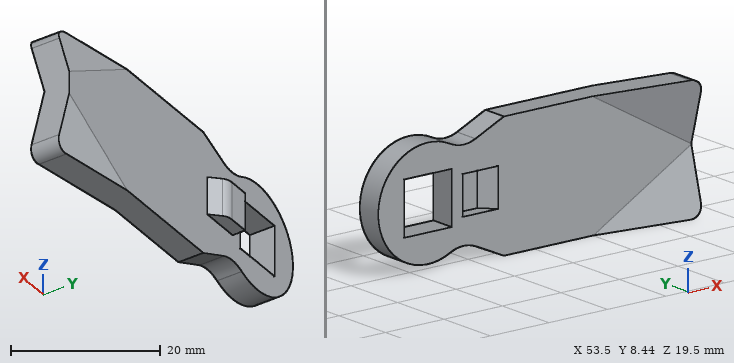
import cadquery as cq
import math

length = 53.5
half_width = 9.75
thickness = 4.0
corner_radius = 2.0

head_radius = 8.5
waist_radius = 5.05
waist_x = 14.55
shoulder_angle = math.radians(24.5)
square_hole = 8.15

stop_start = 14.45
stop_end = 20.55
stop_width = 6.0
boss_height = 2.05
pocket_depth = boss_height
boss_round = 2.0

fold_angle = math.radians(30)
bend_slope = 0.31
back_fold_shift = 3.1
cut_margin = 10.7


def extrude_outline():
    """Extrude the outline, symmetric about Z = 0, through the bent depth."""
    waist_z = math.sqrt((head_radius + waist_radius) ** 2 - (waist_x - head_radius) ** 2)
    head_share = head_radius / (head_radius + waist_radius)
    join_x = head_radius + (waist_x - head_radius) * head_share
    join_z = waist_z * head_share
    line_x = waist_x + waist_radius * math.sin(shoulder_angle)
    line_z = waist_z - waist_radius * math.cos(shoulder_angle)
    shoulder_x = line_x + (half_width - line_z) / math.tan(shoulder_angle)
    waist_bottom = waist_z - waist_radius

    outline = (
        cq.Workplane("XZ", origin=(0, thickness, 0))
        .moveTo(join_x, -join_z)
        .threePointArc((0, 0), (join_x, join_z))
        .threePointArc((waist_x, waist_bottom), (line_x, line_z))
        .lineTo(shoulder_x, half_width)
        .lineTo(length, half_width)
        .lineTo(length, -half_width)
        .lineTo(shoulder_x, -half_width)
        .lineTo(line_x, -line_z)
        .threePointArc((waist_x, -waist_bottom), (join_x, -join_z))
        .close()
    )
    bend_depth = bend_slope * length * math.sin(fold_angle)
    return outline.extrude(thickness + bend_depth).edges("|Y and >X").fillet(corner_radius)


def bent_sheet(side):
    """Return a long folded sheet whose bent flank lies on the given Z side."""
    section = cq.Plane(
        origin=(length, 0, 0),
        xDir=(math.sin(fold_angle), 0, side * math.cos(fold_angle)),
        normal=(math.cos(fold_angle), 0, -side * math.sin(fold_angle)),
    )
    forward = -1 if section.yDir.y > 0 else 1
    back_shift = back_fold_shift * math.sin(fold_angle)
    reach = length + cut_margin

    def place(across, depth):
        return (across, forward * depth)

    return (
        cq.Workplane(section)
        .polyline([
            place(-reach, 0),
            place(0, 0),
            place(reach, bend_slope * reach),
            place(reach, bend_slope * (reach - back_shift) - thickness),
            place(back_shift, -thickness),
            place(-reach, -thickness),
        ])
        .close()
        .extrude(reach, both=True)
    )


def half_space(side):
    """Return a block covering one Z side of the whole part."""
    size = length + cut_margin
    return cq.Workplane("XY").box(2 * size, 2 * size, size).translate((0, 0, side * size / 2))


def make_boss():
    """Return the boss behind the plate, with a rounded 45 degree ramp."""
    ramp_top = stop_end - boss_height
    ramp_angle = math.radians(45)
    tangent = boss_round * math.tan(ramp_angle / 2)
    diagonal = math.sin(ramp_angle)
    top = thickness + boss_height
    arc_x = ramp_top - tangent
    arc_y = top - boss_round
    arc_middle = math.pi / 2 - ramp_angle / 2
    return (
        cq.Workplane("XY", origin=(0, 0, -stop_width / 2))
        .moveTo(stop_start, thickness)
        .lineTo(stop_start, top)
        .lineTo(arc_x, top)
        .threePointArc(
            (arc_x + boss_round * math.cos(arc_middle), arc_y + boss_round * math.sin(arc_middle)),
            (ramp_top + tangent * diagonal, top - tangent * diagonal),
        )
        .lineTo(stop_end, thickness)
        .close()
        .extrude(stop_width)
    )


def make_pocket():
    """Return the front pocket, with a 45 degree ramp at its right end."""
    return (
        cq.Workplane("XY", origin=(0, 0, -stop_width / 2))
        .polyline([
            (stop_start, 0),
            (stop_end, 0),
            (stop_end - pocket_depth, pocket_depth),
            (stop_start, pocket_depth),
        ])
        .close()
        .extrude(stop_width)
    )


blank = extrude_outline()
upper = blank.intersect(half_space(1)).intersect(bent_sheet(1))
lower = blank.intersect(half_space(-1)).intersect(bent_sheet(-1))
plate = upper.union(lower)

hole = (
    cq.Workplane("XY")
    .box(square_hole, thickness, square_hole)
    .translate((head_radius, thickness / 2, 0))
)
result = plate.union(make_boss()).cut(make_pocket()).cut(hole).clean()